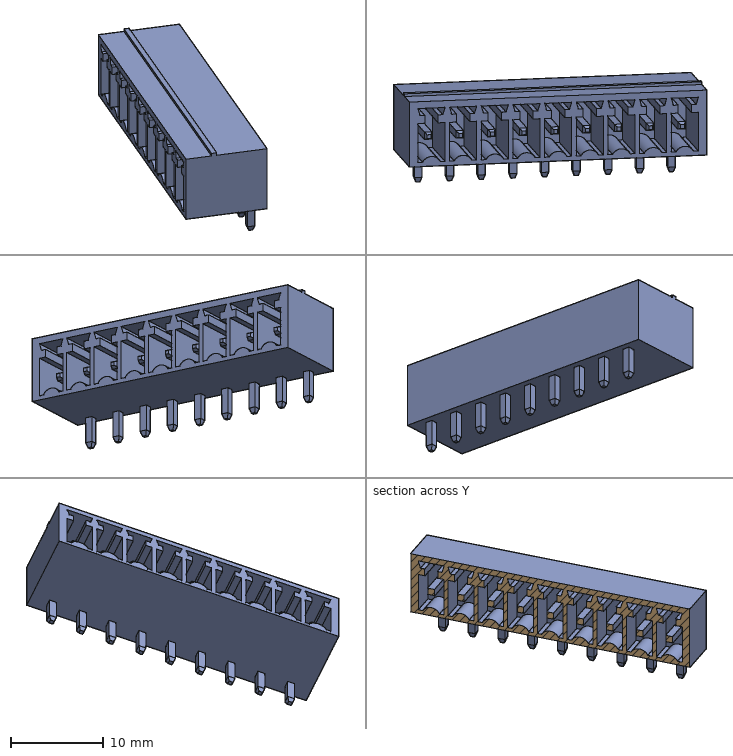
import cadquery as cq

length = 32.9
depth = 9.2
height = 7.25
overall_height = 10.95
ridge_width = 0.6
ridge_height = 0.3
ridge_setback = 3.2

position_count = 9
end_margin = 2.45
pitch = (length - 2 * end_margin) / (position_count - 1)

socket_width = 3.0
socket_depth = 7.25
socket_floor = 0.5
socket_roof = 6.48
neck_width = 1.48
neck_bottom = 4.8
neck_top = 5.7
flare_width = 2.5
hump_width = 1.97
hump_height = 0.6

pin_size = 0.82
tip_size = 0.43
tip_length = 0.55
pin_axis_height = 3.0
pin_setback = 1.4
tail_to_back = 1.2
tail_drop = overall_height - height - ridge_height
tail_y = depth - tail_to_back


def make_housing():
    body = cq.Workplane("XY").box(length, depth, height, centered=(True, False, False))
    ridge = (
        cq.Workplane("XY", origin=(0, ridge_setback, height))
        .box(length, ridge_width, ridge_height, centered=(True, True, False))
    )
    return body.union(ridge)


def make_socket():
    """Keyhole-shaped cavity with a rounded hump left standing on its floor."""
    half_socket = socket_width / 2
    half_neck = neck_width / 2
    half_flare = flare_width / 2
    half_hump = hump_width / 2
    return (
        cq.Workplane("XZ")
        .moveTo(-half_socket, socket_floor)
        .lineTo(-half_hump, socket_floor)
        .threePointArc((0, socket_floor + hump_height), (half_hump, socket_floor))
        .lineTo(half_socket, socket_floor)
        .lineTo(half_socket, neck_bottom)
        .lineTo(half_neck, neck_bottom)
        .lineTo(half_neck, neck_top)
        .lineTo(half_flare, neck_top)
        .lineTo(half_socket, socket_roof)
        .lineTo(-half_socket, socket_roof)
        .lineTo(-half_flare, neck_top)
        .lineTo(-half_neck, neck_top)
        .lineTo(-half_neck, neck_bottom)
        .lineTo(-half_socket, neck_bottom)
        .close()
        .extrude(-socket_depth)
    )


def make_leg(base_plane, leg_length):
    """Square bar standing on base_plane, ending in a tapered tip."""
    shank_length = leg_length - tip_length
    shank = cq.Workplane(base_plane).rect(pin_size, pin_size).extrude(shank_length)
    tip = (
        cq.Workplane(base_plane)
        .workplane(offset=shank_length)
        .rect(pin_size, pin_size)
        .workplane(offset=tip_length)
        .rect(tip_size, tip_size)
        .loft()
    )
    return shank.union(tip)


def make_pin():
    """Mating leg toward -Y and solder tail toward -Z, meeting at the bend."""
    bend = (0, tail_y, pin_axis_height)
    mating_leg = make_leg(cq.Plane(bend, (1, 0, 0), (0, -1, 0)), tail_y - pin_setback)
    tail = make_leg(cq.Plane(bend, (1, 0, 0), (0, 0, -1)), pin_axis_height + tail_drop)
    return mating_leg.union(tail)


position_points = [
    (end_margin - length / 2 + index * pitch, 0, 0) for index in range(position_count)
]
socket = make_socket()
pin = make_pin()

result = make_housing()
for point in position_points:
    result = result.cut(socket.translate(point))
for point in position_points:
    result = result.union(pin.translate(point))